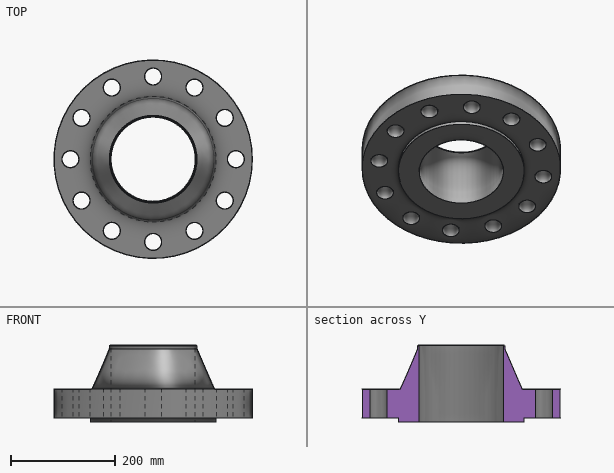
import cadquery as cq
import math

flange_diameter = 381.0
flange_thickness = 55.5
face_diameter = 241.5
face_height = 8.0

overall_height = 147.8
hub_base_diameter = 235.0
neck_diameter = 168.5
neck_length = 7.0
hub_fillet_radius = 3.0

bore_diameter = 161.5
land_width = 1.5
bevel_angle = 37.5

bolt_count = 12
bolt_circle_diameter = 317.3
bolt_hole_diameter = 32.0

flange_top = face_height + flange_thickness
neck_start = overall_height - neck_length
neck_radius = neck_diameter / 2
land_radius = bore_diameter / 2 + land_width
bevel_height = (neck_radius - land_radius) * math.tan(math.radians(bevel_angle))


def make_flange():
    """Flange disc standing on its raised face."""
    face = cq.Workplane("XY").circle(face_diameter / 2).extrude(face_height)
    disc = (
        cq.Workplane("XY")
        .workplane(offset=face_height)
        .circle(flange_diameter / 2)
        .extrude(flange_thickness)
    )
    return face.union(disc)


def make_hub():
    """Tapered hub, straight neck and weld bevel, revolved about Z."""
    return (
        cq.Workplane("XZ")
        .moveTo(0, flange_top)
        .lineTo(hub_base_diameter / 2, flange_top)
        .lineTo(neck_radius, neck_start)
        .lineTo(neck_radius, overall_height - bevel_height)
        .lineTo(land_radius, overall_height)
        .lineTo(0, overall_height)
        .close()
        .revolve(360, (0, 0, 0), (0, 1, 0))
    )


def fillet_hub_base(body):
    """Round the inside corner where the hub meets the flange disc."""
    largest_circle = cq.selectors.RadiusNthSelector(-1)
    corner = body.faces("%CONE").edges("%CIRCLE").edges(largest_circle)
    return corner.fillet(hub_fillet_radius)


def make_bolt_holes():
    """Ring of cylinders that cut the bolt holes through the disc."""
    return (
        cq.Workplane("XY")
        .polarArray(bolt_circle_diameter / 2, 0, 360, bolt_count)
        .circle(bolt_hole_diameter / 2)
        .extrude(flange_top)
    )


bore = cq.Workplane("XY").circle(bore_diameter / 2).extrude(overall_height)

result = fillet_hub_base(make_flange().union(make_hub()))
result = result.cut(bore).cut(make_bolt_holes())